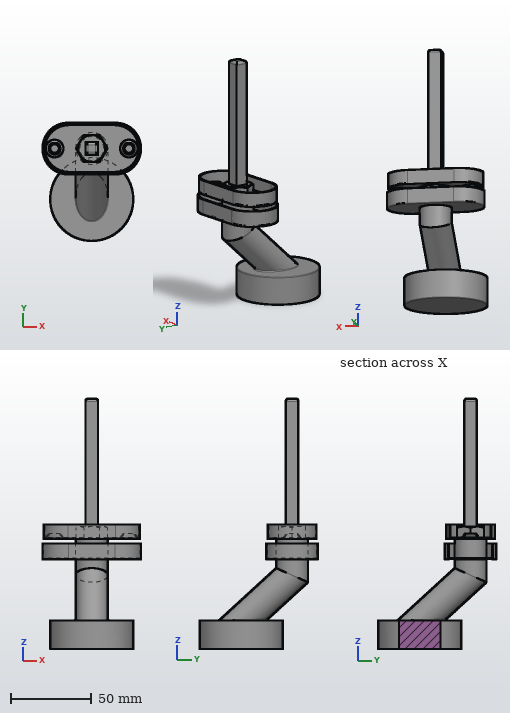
import cadquery as cq
import math

total_height = 156.2

knob_diameter = 52.0
knob_height = 18.0
knob_edge_radius = 0.5
knob_offset = 31.7

neck_diameter = 20.0
elbow_height = 46.1
arm_angle = 47.5
arm_root_radius = 0.5

sheet_thickness = 0.8

cover_length = 61.5
cover_width = 32.3
cover_height = 10.0
cover_bottom = 55.9
cover_edge_radius = 0.5

plate_length = 60.1
plate_width = 30.6
plate_height = 9.0
plate_bottom = 68.7

nipple_spacing = 46.4
nipple_base_diameter = 12.2
nipple_top_diameter = 7.2
nipple_height = 3.5
nipple_bore_diameter = 5.5
nipple_wall = 0.6

shank_diameter = 15.0
hex_sides = 6
hex_across_flats = 16.9
hex_height = 6.9
hex_chamfer_angle = 30.0
spindle_side = 8.0
spindle_tip_radius = 1.7

plate_floor_top = plate_bottom + sheet_thickness
hex_top = plate_floor_top + hex_height
hex_corner_radius = hex_across_flats / 2 / math.cos(math.pi / hex_sides)


def stadium(length, width, height, bottom):
    """A solid with straight long sides and semicircular ends, along X."""
    return cq.Workplane("XY").workplane(offset=bottom).slot2D(length, width).extrude(height)


def cup(length, width, height, bottom):
    """A stadium-shaped cup, open at the top."""
    outside = stadium(length, width, height, bottom)
    inside = stadium(
        length - 2 * sheet_thickness,
        width - 2 * sheet_thickness,
        height - sheet_thickness,
        bottom + sheet_thickness,
    )
    return outside.cut(inside)


def cylinder(diameter, height, bottom):
    """An upright cylinder on the spindle axis."""
    return cq.Workplane("XY").workplane(offset=bottom).circle(diameter / 2).extrude(height)


def make_cover():
    """A thin cup with a rounded lower edge and a hole for the neck."""
    shell = cup(cover_length, cover_width, cover_height, cover_bottom)
    shell = shell.faces("<Z").edges().fillet(cover_edge_radius)
    return shell.cut(cylinder(neck_diameter, cover_height, cover_bottom))


def nipple_cone(x, base_diameter, top_diameter, height):
    """A solid cone frustum on the underside of the plate, centred at the given X."""
    return (
        cq.Workplane("XY")
        .workplane(offset=plate_bottom)
        .center(x, 0)
        .circle(base_diameter / 2)
        .workplane(offset=height)
        .circle(top_diameter / 2)
        .loft()
    )


def make_mounting_plate():
    """A thin tray with two hollow conical nipples and a hole for the shank."""
    tray = cup(plate_length, plate_width, plate_height, plate_bottom)
    for side in (-1, 1):
        x = side * nipple_spacing / 2
        outer_cone = nipple_cone(x, nipple_base_diameter, nipple_top_diameter, nipple_height)
        hollow = nipple_cone(
            x, nipple_base_diameter - 2 * nipple_wall, nipple_bore_diameter, nipple_height
        )
        tray = tray.union(outer_cone).cut(hollow)
    return tray.cut(cylinder(shank_diameter, sheet_thickness, plate_bottom))


def make_knob():
    """A disc with rounded rims, set off from the spindle axis."""
    knob = cq.Workplane("XY").center(0, -knob_offset).circle(knob_diameter / 2).extrude(knob_height)
    return knob.faces("<Z or >Z").edges().fillet(knob_edge_radius)


def make_neck():
    """The bent neck: a round section swept down the spindle axis and along the arm."""
    arm_drop = elbow_height - knob_height / 2
    arm_reach = arm_drop * math.tan(math.radians(arm_angle))
    path = (
        cq.Workplane("YZ")
        .moveTo(0, plate_bottom)
        .lineTo(0, elbow_height)
        .lineTo(-arm_reach, knob_height / 2)
    )
    section = cq.Workplane("XY").workplane(offset=plate_bottom).circle(neck_diameter / 2)
    neck = section.sweep(path, transition="right")
    knob_zone = (
        cq.Workplane("XY").center(0, -knob_offset).circle(knob_diameter / 2).extrude(knob_height)
    )
    return neck.cut(knob_zone)


def make_hex_collar():
    """A hexagon with its corners along X and its upper corners chamfered."""
    prism = (
        cq.Workplane("XY")
        .workplane(offset=plate_floor_top)
        .polygon(hex_sides, 2 * hex_corner_radius)
        .extrude(hex_height)
    )
    chamfer_drop = (hex_corner_radius - hex_across_flats / 2) * math.tan(math.radians(hex_chamfer_angle))
    envelope = (
        cq.Workplane("XZ")
        .moveTo(0, plate_floor_top)
        .lineTo(hex_corner_radius, plate_floor_top)
        .lineTo(hex_corner_radius, hex_top - chamfer_drop)
        .lineTo(hex_across_flats / 2, hex_top)
        .lineTo(0, hex_top)
        .close()
        .revolve(360, (0, 0, 0), (0, 1, 0))
    )
    return prism.intersect(envelope)


def make_spindle():
    """A square bar on the hexagonal collar, rounded at the tip."""
    bar = (
        cq.Workplane("XY")
        .workplane(offset=hex_top)
        .rect(spindle_side, spindle_side)
        .extrude(total_height - hex_top)
    )
    return bar.faces(">Z").edges().fillet(spindle_tip_radius)


def make_handle():
    """The knob, neck, shank, collar and spindle in one piece."""
    knob_and_neck = make_knob().union(make_neck())
    arm_root = knob_and_neck.edges(cq.selectors.BoxSelector(
        (-neck_diameter, -knob_offset - neck_diameter, knob_height - arm_root_radius),
        (neck_diameter, -knob_offset + neck_diameter, knob_height + arm_root_radius),
    ))
    shank = cylinder(shank_diameter, sheet_thickness, plate_bottom)
    return arm_root.fillet(arm_root_radius).union(shank).union(make_hex_collar()).union(make_spindle())


cover = make_cover()
mounting_plate = make_mounting_plate()
handle = make_handle()

result = cq.Compound.makeCompound([handle.val(), cover.val(), mounting_plate.val()])